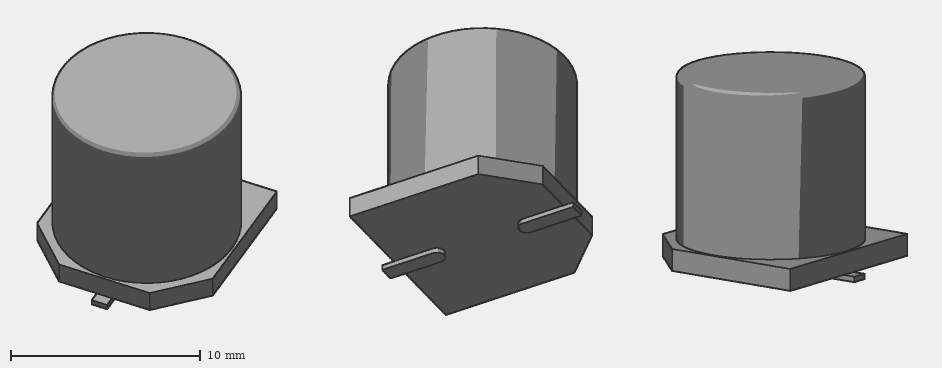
import cadquery as cq

base_side = 10.3
base_height = 1.2
corner_cut = 2.49

can_diameter = 10.0
can_edge_radius = 0.3

terminal_span = 11.6
terminal_width = 0.9
terminal_thickness = 0.3
terminal_length = 3.51

body_offset_y = -0.05

total_height = 10.5
can_height = total_height - terminal_thickness - base_height


def make_base():
    """Square plate with its two -Y corners cut off."""
    return (
        cq.Workplane("XY")
        .workplane(offset=terminal_thickness)
        .rect(base_side, base_side)
        .extrude(base_height)
        .faces("<Y")
        .edges("|Z")
        .chamfer(corner_cut)
    )


def make_can():
    """Round can standing on the base, with a rounded top rim."""
    return (
        cq.Workplane("XY")
        .workplane(offset=terminal_thickness + base_height)
        .circle(can_diameter / 2)
        .extrude(can_height)
        .faces(">Z")
        .edges()
        .fillet(can_edge_radius)
    )


def make_terminal():
    """Flat strip with a square outer end at +Y and a half-round inner end."""
    half_width = terminal_width / 2
    outer_y = terminal_span / 2
    inner_y = outer_y - terminal_length
    arc_start_y = inner_y + half_width
    return (
        cq.Workplane("XY")
        .moveTo(half_width, arc_start_y)
        .lineTo(half_width, outer_y)
        .lineTo(-half_width, outer_y)
        .lineTo(-half_width, arc_start_y)
        .threePointArc((0, inner_y), (half_width, arc_start_y))
        .close()
        .extrude(terminal_thickness)
    )


result = make_base().union(make_can()).translate((0, body_offset_y, 0))
for angle in (0, 180):
    terminal = make_terminal().rotate((0, 0, 0), (0, 0, 1), angle)
    result = result.union(terminal)